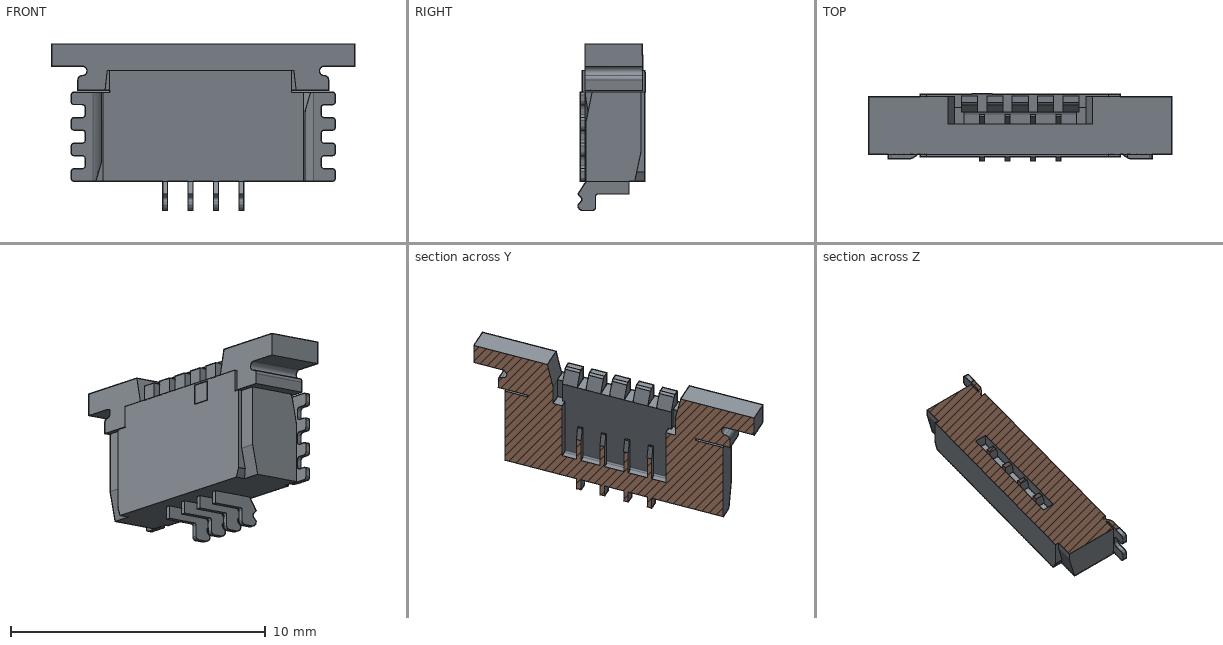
import cadquery as cq


BAR_HALF_X = 5.96
SLIDER_HALF_X = 4.93
SLIDER_HALF_Y = 1.13
BAR_TOP = 5.40
BAR_BOTTOM = 4.52
SLIDER_BOTTOM = 3.575
NOTCH_RADIUS = 0.18
RECESS_FLOOR_Y = -0.90
RECESS_FLARE = 0.09

SLOT_TOP_HALF_X = 2.83
SLOT_BOTTOM_HALF_X = 2.59
SLOT_FRONT_Y = 0.05
REAR_WALL_Y = 0.70
CAVITY_HALF_X = 2.20
CAVITY_REAR_Y = 0.52
CAVITY_FLOOR_RADIUS = 0.06
CAVITY_FLOOR = 1.0

HOUSING_HALF_X = 3.93
HOUSING_FRONT_Y = -1.235
HOUSING_REAR_Y = 1.235
HOUSING_TOP = 3.51
PLATE_LEFT = -3.68
PLATE_RIGHT = 3.47
PLATE_TOP = 4.36
FOOT_CHAMFER_Z = 0.36
FOOT_CHAMFER_X = 0.15

WING_HALF_X = 4.64
WING_FRONT_Y = -1.08
WING_REAR_Y = 1.08
WING_TOP_FRONT_Y = -0.84
WING_BOTTOM_REAR_Y = 0.83
WING_TAPER_Z = 1.17

TAB_OUTER_X = 5.19
TAB_BEND_X = 4.33
TAB_FRONT_Y = -1.31
TAB_THICKNESS = 0.18
TAB_TOE_X = 3.99
TAB_TOE_REAR_Y = -0.98
TAB_BEND_OUTER_MID = (4.16, -1.24)
TAB_BEND_INNER_MID = (4.15, -1.09)
TAB_CORNER_RADIUS = 0.12
TAB_TAPER_X = 4.22
TAB_TAPER_Z = 0.78
TOOTH_PITCH = 1.003
TOOTH_HEIGHT = 0.50
TOOTH_COUNT = 4

PITCH = 1.0
CONTACT_WIDTH = 0.20
CONTACT_COUNT = 4
CONTACT_REAR_Y = 0.43
CONTACT_RAMP_REAR_Y = 0.36
CONTACT_TOP = 2.5
CONTACT_RAMP_BOTTOM = 1.2
TAIL_REAR_Y = 0.61
TAIL_STEP_Z = -0.50
TAIL_BOTTOM = -1.15
TAIL_TIP_Y = -1.40
TAIL_TOE_Z = -0.95
FOOT_REAR_Y = -0.70
FOOT_INNER_RADIUS = 0.08
FOOT_HEEL_RADIUS = 0.14
FOOT_TOE_RADIUS = 0.20
FOOT_TOE_TOP_RADIUS = 0.06
FOOT_NOTCH_Z = -0.71
FOOT_NOTCH_Y = -1.25
FOOT_NOTCH_MOUTH_HALF = 0.10
FOOT_NOTCH_MOUTH_Y = -1.30

FINGER_WIDTH = 0.63
FINGER_COUNT = 5
FINGER_REAR_Y = 1.15
FINGER_TOP = 4.96
FINGER_EDGE_Y = 0.91
FINGER_NOSE_Y = 0.80
FINGER_NOSE_Z = 4.90

MARK_WIDTH = 0.80
MARK_HEIGHT = 0.77
MARK_REAR_Y = 1.26


def block(x, y, z):
    """Box spanning three (low, high) ranges."""
    size = [high - low for low, high in (x, y, z)]
    return cq.Workplane("XY").box(*size, centered=False).translate((x[0], y[0], z[0]))


def extrude_x(points, x_low, x_high):
    """Prism along X from a (y, z) outline."""
    outline = cq.Workplane("YZ", origin=(x_low, 0, 0)).polyline(points).close()
    return outline.extrude(x_high - x_low)


def extrude_y(points, y_low, y_high):
    """Prism along Y from an (x, z) outline."""
    outline = cq.Workplane("XZ", origin=(0, y_high, 0)).polyline(points).close()
    return outline.extrude(y_high - y_low)


def spread(count):
    """X positions of a centred row at the contact pitch."""
    return [(i - (count - 1) / 2) * PITCH for i in range(count)]


def make_slider():
    """Bar with a round notch under each end, flowing into a rounded shoulder of the same radius."""
    notch_bottom = BAR_BOTTOM - 2 * NOTCH_RADIUS
    notch_center_x = SLIDER_HALF_X - NOTCH_RADIUS
    notch_apex_x = notch_center_x - NOTCH_RADIUS
    notch_mid = BAR_BOTTOM - NOTCH_RADIUS
    half = (
        cq.Workplane("XZ", origin=(0, SLIDER_HALF_Y, 0))
        .moveTo(0, BAR_TOP)
        .lineTo(BAR_HALF_X, BAR_TOP)
        .lineTo(BAR_HALF_X, BAR_BOTTOM)
        .lineTo(notch_center_x, BAR_BOTTOM)
        .radiusArc((notch_apex_x, notch_mid), -NOTCH_RADIUS)
        .radiusArc((notch_center_x, notch_bottom), -NOTCH_RADIUS)
        .radiusArc((SLIDER_HALF_X, notch_bottom - NOTCH_RADIUS), NOTCH_RADIUS)
        .lineTo(SLIDER_HALF_X, SLIDER_BOTTOM)
        .lineTo(0, SLIDER_BOTTOM)
        .close()
        .extrude(2 * SLIDER_HALF_Y)
    )
    recess = extrude_y(
        [
            (PLATE_LEFT - RECESS_FLARE, PLATE_TOP),
            (PLATE_RIGHT + RECESS_FLARE, PLATE_TOP),
            (PLATE_RIGHT + 2 * RECESS_FLARE, SLIDER_BOTTOM),
            (PLATE_LEFT - 2 * RECESS_FLARE, SLIDER_BOTTOM),
        ],
        -SLIDER_HALF_Y,
        RECESS_FLOOR_Y,
    )
    return half.union(half.mirror("YZ")).cut(recess)


def make_wing():
    """Wing profile: the front edge leans back at the top, the rear edge leans in at the bottom."""
    profile = [
        (WING_FRONT_Y, 0),
        (WING_BOTTOM_REAR_Y, 0),
        (WING_REAR_Y, WING_TAPER_Z),
        (WING_REAR_Y, HOUSING_TOP),
        (WING_TOP_FRONT_Y, HOUSING_TOP),
        (WING_FRONT_Y, HOUSING_TOP - WING_TAPER_Z),
    ]
    return extrude_x(profile, -WING_HALF_X, WING_HALF_X)


def make_housing():
    """Core with chamfered rear feet, the raised plate on top of it and the side wings."""
    depth = (HOUSING_FRONT_Y, HOUSING_REAR_Y)
    core = block((-HOUSING_HALF_X, HOUSING_HALF_X), depth, (0, HOUSING_TOP))
    foot = extrude_y(
        [
            (HOUSING_HALF_X, 0),
            (HOUSING_HALF_X - FOOT_CHAMFER_X, 0),
            (HOUSING_HALF_X, FOOT_CHAMFER_Z),
        ],
        WING_BOTTOM_REAR_Y,
        HOUSING_REAR_Y,
    )
    core = core.cut(foot).cut(foot.mirror("YZ"))
    plate = block((PLATE_LEFT, PLATE_RIGHT), depth, (HOUSING_TOP, PLATE_TOP))
    return core.union(plate).union(make_wing())


def make_entry_slot():
    """Tapered slot through the slider, stepped floor behind it and the cavity for the contacts."""
    slot = extrude_y(
        [
            (-SLOT_TOP_HALF_X, BAR_TOP),
            (SLOT_TOP_HALF_X, BAR_TOP),
            (SLOT_BOTTOM_HALF_X, PLATE_TOP),
            (-SLOT_BOTTOM_HALF_X, PLATE_TOP),
        ],
        SLOT_FRONT_Y,
        HOUSING_REAR_Y,
    )
    side_step = block(
        (-SLOT_BOTTOM_HALF_X, -CAVITY_HALF_X), (SLOT_FRONT_Y, REAR_WALL_Y), (HOUSING_TOP, PLATE_TOP)
    )
    cavity = block(
        (-CAVITY_HALF_X, CAVITY_HALF_X), (SLOT_FRONT_Y, CAVITY_REAR_Y), (CAVITY_FLOOR, PLATE_TOP)
    )
    cavity = cavity.faces(">Y").edges("<Z").fillet(CAVITY_FLOOR_RADIUS)
    return slot.union(side_step).union(side_step.mirror("YZ")).union(cavity)


def make_finger(x):
    """Guide finger standing on the rear wall, sloping down to the cavity."""
    profile = [
        (FINGER_REAR_Y, HOUSING_TOP),
        (FINGER_REAR_Y, FINGER_TOP),
        (FINGER_EDGE_Y, FINGER_TOP),
        (FINGER_NOSE_Y, FINGER_NOSE_Z),
        (CAVITY_REAR_Y, PLATE_TOP),
        (CAVITY_REAR_Y, HOUSING_TOP),
    ]
    return extrude_x(profile, x - FINGER_WIDTH / 2, x + FINGER_WIDTH / 2)


def make_contact(x):
    """Stamped contact: solder tail with a notched foot below, ramped beam in the cavity above."""
    notch_low = (FOOT_NOTCH_MOUTH_Y, FOOT_NOTCH_Z - FOOT_NOTCH_MOUTH_HALF)
    notch_high = (FOOT_NOTCH_MOUTH_Y, FOOT_NOTCH_Z + FOOT_NOTCH_MOUTH_HALF)
    toe_top = (TAIL_TIP_Y + FOOT_TOE_TOP_RADIUS / 2, TAIL_TOE_Z + FOOT_TOE_TOP_RADIUS)
    tail = (
        cq.Workplane("YZ", origin=(x - CONTACT_WIDTH / 2, 0, 0))
        .moveTo(TAIL_REAR_Y, CAVITY_FLOOR)
        .lineTo(TAIL_REAR_Y, TAIL_STEP_Z)
        .lineTo(FOOT_REAR_Y + FOOT_INNER_RADIUS, TAIL_STEP_Z)
        .radiusArc((FOOT_REAR_Y, TAIL_STEP_Z - FOOT_INNER_RADIUS), -FOOT_INNER_RADIUS)
        .lineTo(FOOT_REAR_Y, TAIL_BOTTOM + FOOT_HEEL_RADIUS)
        .radiusArc((FOOT_REAR_Y - FOOT_HEEL_RADIUS, TAIL_BOTTOM), FOOT_HEEL_RADIUS)
        .lineTo(TAIL_TIP_Y + FOOT_TOE_RADIUS, TAIL_BOTTOM)
        .radiusArc((TAIL_TIP_Y, TAIL_TOE_Z), FOOT_TOE_RADIUS)
        .radiusArc(toe_top, FOOT_TOE_TOP_RADIUS)
        .lineTo(*notch_low)
        .threePointArc((FOOT_NOTCH_Y, FOOT_NOTCH_Z), notch_high)
        .lineTo(TAIL_TIP_Y, TAIL_STEP_Z)
        .lineTo(WING_FRONT_Y, 0)
        .lineTo(WING_FRONT_Y, CAVITY_FLOOR)
        .close()
        .extrude(CONTACT_WIDTH)
    )
    beam_profile = [
        (SLOT_FRONT_Y, CAVITY_FLOOR),
        (SLOT_FRONT_Y, CONTACT_RAMP_BOTTOM),
        (CONTACT_RAMP_REAR_Y, CONTACT_TOP),
        (CONTACT_REAR_Y, CONTACT_TOP),
        (CONTACT_REAR_Y, CAVITY_FLOOR),
    ]
    beam = extrude_x(beam_profile, x - CONTACT_WIDTH / 2, x + CONTACT_WIDTH / 2)
    return tail.union(beam)


def make_right_tab():
    """Toothed strip whose inner edge bends back into the housing and tapers off at the top."""
    back_y = TAB_FRONT_Y + TAB_THICKNESS
    strip = block((TAB_BEND_X, TAB_OUTER_X), (TAB_FRONT_Y, back_y), (0, HOUSING_TOP))
    for i in range(TOOTH_COUNT - 1):
        gap_low = i * TOOTH_PITCH + TOOTH_HEIGHT
        gap = block(
            (WING_HALF_X, TAB_OUTER_X), (TAB_FRONT_Y, back_y), (gap_low, (i + 1) * TOOTH_PITCH)
        )
        strip = strip.cut(gap)
    strip = strip.edges("|Y").edges("not(<X)").fillet(TAB_CORNER_RADIUS)

    bend = (
        cq.Workplane("XY")
        .moveTo(TAB_BEND_X, TAB_FRONT_Y)
        .threePointArc(TAB_BEND_OUTER_MID, (TAB_TOE_X, WING_FRONT_Y))
        .lineTo(TAB_TOE_X, TAB_TOE_REAR_Y)
        .threePointArc(TAB_BEND_INNER_MID, (TAB_BEND_X, back_y))
        .close()
        .extrude(HOUSING_TOP)
    )
    taper = extrude_y(
        [
            (TAB_TOE_X, HOUSING_TOP),
            (TAB_TAPER_X, HOUSING_TOP),
            (TAB_TOE_X, HOUSING_TOP - TAB_TAPER_Z),
        ],
        TAB_FRONT_Y,
        TAB_TOE_REAR_Y,
    )
    return strip.union(bend.cut(taper))


def make_mark():
    """Raised pad on the rear face, in line with the first contact."""
    first_contact_x = spread(CONTACT_COUNT)[0]
    return block(
        (first_contact_x - MARK_WIDTH / 2, first_contact_x + MARK_WIDTH / 2),
        (HOUSING_REAR_Y, MARK_REAR_Y),
        (HOUSING_TOP, HOUSING_TOP + MARK_HEIGHT),
    )


result = make_housing().union(make_slider()).cut(make_entry_slot())
for finger_x in spread(FINGER_COUNT):
    result = result.union(make_finger(finger_x))
for contact_x in spread(CONTACT_COUNT):
    result = result.union(make_contact(contact_x))

right_tab = make_right_tab()
left_tab = right_tab.rotate((0, 0, HOUSING_TOP / 2), (0, 1, HOUSING_TOP / 2), 180)
result = result.union(right_tab).union(left_tab).union(make_mark())